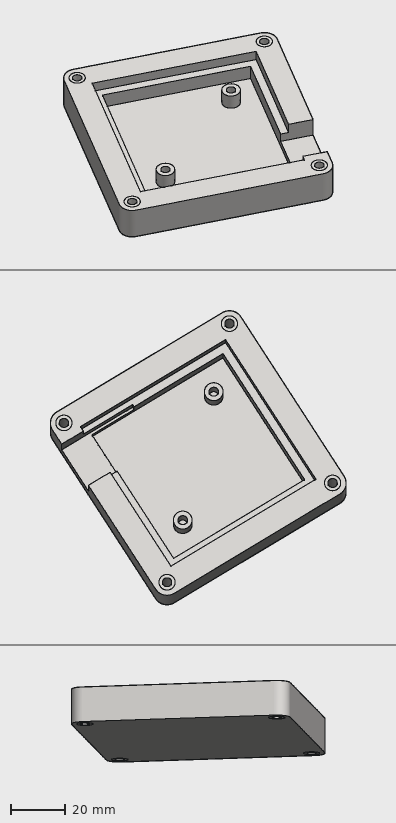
import cadquery as cq

side = 81.9
height = 13.0
corner_radius = 5.0

recess_side = 63.0
recess_depth = 4.0
well_side = 56.9
well_depth = 10.0
floor_z = height - well_depth

channel_left = 10.9
channel_right = 29.5
channel_front = 10.15
channel_depth = 7.6

standoff_offset = 17.85
standoff_diameter = 6.9
standoff_height = 6.0
standoff_hole_diameter = 3.4

bushing_offset = side / 2 - corner_radius
bushing_diameter = 6.0
bushing_bore = 3.4
bushing_places = [(x * bushing_offset, y * bushing_offset) for x in (-1, 1) for y in (-1, 1)]


def make_block():
    """Outer block with rounded vertical corners."""
    block = cq.Workplane("XY").rect(side, side).extrude(height)
    return block.edges("|Z").fillet(corner_radius)


def make_square_pocket(pocket_side, depth):
    """Cutter for a centred square pocket, sunk from the top face."""
    return cq.Workplane("XY").workplane(offset=height - depth).rect(pocket_side, pocket_side).extrude(depth)


def make_channel():
    """Cutter for the cable channel, from its closed front end out through the +Y wall."""
    width = channel_right - channel_left
    length = side / 2 - channel_front
    return cq.Workplane("XY").box(width, length, channel_depth, centered=False).translate(
        (channel_left, channel_front, height - channel_depth)
    )


def make_standoffs():
    """Standoffs on the floor, each bored down to floor level."""
    places = [(-standoff_offset, standoff_offset), (standoff_offset, -standoff_offset)]
    floor = cq.Workplane("XY").workplane(offset=floor_z).pushPoints(places)
    posts = floor.circle(standoff_diameter / 2).circle(standoff_hole_diameter / 2)
    return posts.extrude(standoff_height)


def make_bushing_holes():
    """Cutters for the four through holes that hold the bushings."""
    return cq.Workplane("XY").pushPoints(bushing_places).circle(bushing_diameter / 2).extrude(height)


def make_housing():
    housing = make_block()
    housing = housing.cut(make_square_pocket(recess_side, recess_depth))
    housing = housing.cut(make_square_pocket(well_side, well_depth))
    housing = housing.cut(make_channel())
    housing = housing.cut(make_bushing_holes())
    return housing.union(make_standoffs())


def make_bushing(x, y):
    """Plain tube as tall as the housing."""
    tube = cq.Workplane("XY").center(x, y).circle(bushing_diameter / 2).circle(bushing_bore / 2)
    return tube.extrude(height)


housing = make_housing()
bushings = [make_bushing(x, y) for x, y in bushing_places]

result = cq.Compound.makeCompound([housing.val(), *[bushing.val() for bushing in bushings]])